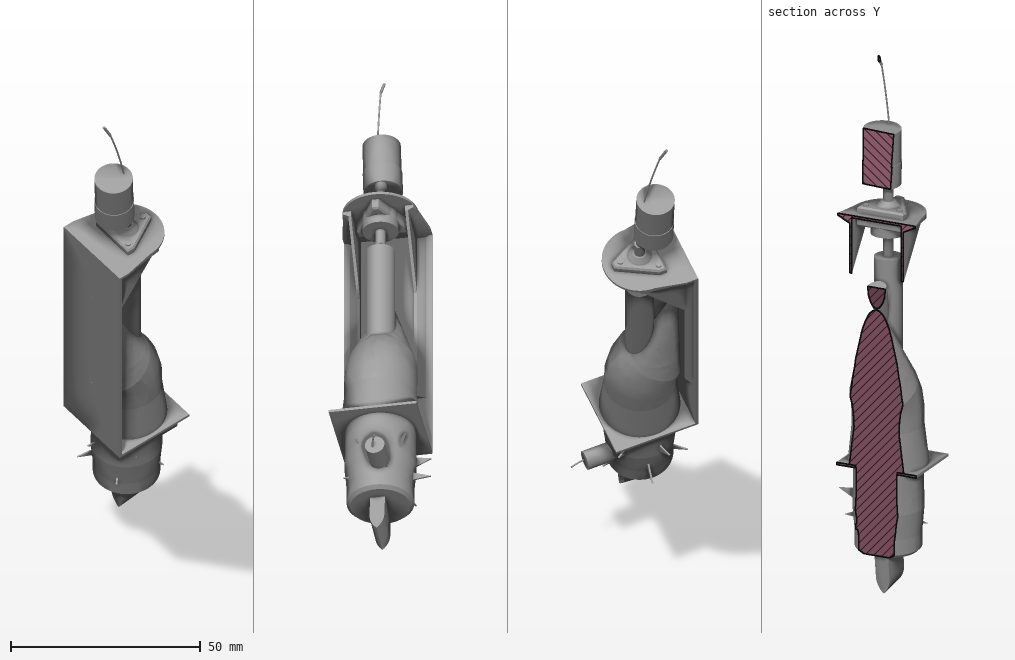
import cadquery as cq


bracket_width = 23.5
bracket_height = 70.8
sheet = 0.8
half_width = bracket_width / 2
wall_inside = -half_width + sheet
plate_underside = bracket_height - sheet
arch_start = -8.5
arch_radius = 10.0
gusset_outer_x = 8.0
gusset_tip_y = 3.5
gusset_height = 20.6
wall_foot_x = 10.2
plate_foot_x = 11.0
plate_foot_height = 1.5
wall_foot_height = 1.2
wall_foot_bottom = 17.7
wall_hole_diameter = 0.5
wall_hole_heights = (19.7, 53.0)

shroud_base_radius = 10.8
collar_radius = 9.4
collar_bottom = -6.0
belt_radius = 9.5
belt_z = -11.5
nose_radius = 8.9
nose_top = -18.6
nose_chamfer = 0.9
housing_bottom = -23.7
shroud_sections = [
    ((9.4, 11.5), (-9.8, 11.5)),
    ((8.9, 18.9), (-10.0, 14.9)),
    ((7.2, 24.0), (-10.3, 16.5)),
    ((4.9, 27.7), (-10.8, 17.7)),
    ((-10.2, 49.8), (-10.9, 47.5)),
]

spikes_per_ring = 5
spike_thickness = 0.5
spike_root_radius = 5.4
spike_center = (-2.0, 0.2)
upper_spike_angle = 196
upper_spike_radius = 11.5
upper_spike_z = -7.8
upper_spike_drop = 4.3
lower_spike_angle = 170
lower_spike_radius = 12.2
lower_spike_z = -17.2
lower_spike_rise = 3.0

shaft_diameter = 2.8
shaft_top = 78.2
sleeve_diameter = 7.7
sleeve_top = 58.3
sleeve_bottom = 12.3
branch_diameter = 5.2
branch_top_y = -7.0
branch_top_z = 51.7
branch_tilt = 21.0
branch_collar = 2.3
branch_end_diameter = 0.9
branch_cone = 16.9

flange_half_base = 6.8
flange_base_y = -4.9
flange_side_y = -2.8
flange_apex_y = 7.7
flange_apex_half = 0.9
flange_height = 1.8
flange_chamfer = 0.5
screw_places = [(-4.9, -3.4), (4.9, -3.4), (0, 5.5)]
screw_diameter = 1.5
screw_head = 0.5
dome_diameter = 6.6
dome_top_diameter = 3.7
dome_height = 1.4
hub_diameter = 9.5
lower_flange_height = 2.9
hub_length = 5.2

knob_diameter = 10.5
knob_length = 15.7
knob_band = 6.5
knob_band_step = 0.2
knob_y = -4.0
knob_bottom = 80.2
knob_tilt_x = 3.1
knob_tilt_y = 2.2
stem_diameter = 3.4
stem_y = -0.8
stem_overlap = 1.5
lead_diameter = 0.5
lead_x = 1.0
lead_path = [(-1.5, 94.6), (-3.8, 105.5), (-6.3, 114.1)]
lead_tip_x = 0.5
lead_tip_y = -8.0
lead_tip_z = 118.0
lead_tip_diameter = 0.8

motor_diameter = 5.2
motor_x = -1.4
motor_z = -15.2
motor_back = 9.0
motor_front = 16.3
motor_shaft_diameter = 2.5
motor_shaft_depth = 2.3
motor_lead_path = [(-0.8, 16.0, -15.8), (-1.0, 17.7, -15.5), (-2.0, 20.5, -15.0)]

blade_half_thickness = 2.0
blade_length = 8.8
blade_overlap = 3.0
blade_shoulder = 6.8
blade_tip = 11.5
blade_tilt = 7.5


def upright_cylinder(diameter, bottom, top, y=0):
    return cq.Workplane("XY", origin=(0, y, bottom)).circle(diameter / 2).extrude(top - bottom)


def spike_ring(start_angle, tip_radius, tip_z, root_z):
    """Thin triangular fins spread evenly around the spike centre."""
    ring = cq.Workplane("XY")
    for i in range(spikes_per_ring):
        fin = (
            cq.Workplane("XZ", origin=(0, spike_thickness / 2, 0))
            .polyline([(spike_root_radius, tip_z), (tip_radius, tip_z), (spike_root_radius, root_z)])
            .close().extrude(spike_thickness)
            .rotate((0, 0, 0), (0, 0, 1), start_angle + i * 360 / spikes_per_ring)
            .translate((*spike_center, 0))
        )
        ring = ring.add(fin)
    return ring


def lead_along(points):
    """Thin round wire along a smooth curve through the points."""
    curve = cq.Edge.makeSpline(points)
    start = cq.Plane(origin=points[0], normal=curve.tangentAt(0))
    return cq.Workplane(start).circle(lead_diameter / 2).sweep(cq.Workplane(curve))


def make_rod():
    """Stepped rod with a slanted side branch that narrows into the sleeve."""
    shaft = upright_cylinder(shaft_diameter, sleeve_top, shaft_top)
    sleeve = upright_cylinder(sleeve_diameter, sleeve_bottom, sleeve_top)
    collar = cq.Workplane("XY").circle(branch_diameter / 2).extrude(-branch_collar)
    cone = (
        cq.Workplane("XY", origin=(0, 0, -branch_collar)).circle(branch_diameter / 2)
        .workplane(offset=-branch_cone).circle(branch_end_diameter / 2).loft()
    )
    branch = collar.union(cone).rotate((0, 0, 0), (1, 0, 0), branch_tilt)
    return sleeve.union(shaft).union(branch.translate((0, branch_top_y, branch_top_z)))


def round_section(front, back):
    """Circle across the YZ plane whose diameter runs from front to back, both (Y, Z)."""
    front_point = cq.Vector(0, *front)
    back_point = cq.Vector(0, *back)
    along = front_point - back_point
    normal = cq.Vector(1, 0, 0).cross(along)
    return cq.Wire.makeCircle(along.Length / 2, (front_point + back_point) / 2, normal)


def make_shroud():
    """Round hood on a flared base, leaning back and narrowing to a tip at the wall."""
    sections = [round_section(front, back) for front, back in shroud_sections]
    rim = cq.Wire.makeCircle(shroud_base_radius, cq.Vector(0, 0, sheet), cq.Vector(0, 0, 1))
    flare = cq.Solid.makeLoft([rim, sections[0]], True)
    elbow = cq.Solid.makeLoft(sections[:-1])
    tip = cq.Solid.makeLoft(sections[-2:], True)
    return cq.Workplane(flare).union(cq.Workplane(elbow)).union(cq.Workplane(tip))


def make_housing(rod, motor):
    """Shroud and turned lower body with two rings of spikes, recessed for the rod and motor."""
    lower_body = (
        cq.Workplane("XZ")
        .polyline([
            (0, sheet), (collar_radius, sheet), (collar_radius, collar_bottom), (belt_radius, belt_z),
            (nose_radius, nose_top), (nose_radius, housing_bottom + nose_chamfer),
            (nose_radius - nose_chamfer, housing_bottom), (0, housing_bottom),
        ])
        .close().revolve(360, (0, 0, 0), (0, 1, 0))
    )
    body = make_shroud().union(lower_body)
    upper = spike_ring(upper_spike_angle, upper_spike_radius, upper_spike_z, upper_spike_z - upper_spike_drop)
    lower = spike_ring(lower_spike_angle, lower_spike_radius, lower_spike_z, lower_spike_z + lower_spike_rise)
    for spike in upper.vals() + lower.vals():
        body = body.union(cq.Workplane(spike))
    return body.cut(rod).cut(motor)


def make_bearing():
    """Triangular flanges clamped on both faces of the top plate, joined by the hub through it."""
    triangle = [
        (-flange_half_base, flange_base_y), (flange_half_base, flange_base_y),
        (flange_half_base, flange_side_y), (flange_apex_half, flange_apex_y),
        (-flange_apex_half, flange_apex_y), (-flange_half_base, flange_side_y),
    ]
    upper = (
        cq.Workplane("XY", origin=(0, 0, bracket_height)).polyline(triangle).close()
        .extrude(flange_height).faces(">Z").chamfer(flange_chamfer)
    )
    lower = (
        cq.Workplane("XY", origin=(0, 0, plate_underside)).polyline(triangle).close()
        .extrude(-lower_flange_height).faces("<Z").chamfer(flange_chamfer)
    )
    dome_base = bracket_height + flange_height
    dome = (
        cq.Workplane("XY", origin=(0, 0, dome_base)).circle(dome_diameter / 2)
        .workplane(offset=dome_height).circle(dome_top_diameter / 2).loft()
    )
    screws = (
        cq.Workplane("XY", origin=(0, 0, dome_base)).pushPoints(screw_places)
        .circle(screw_diameter / 2).extrude(screw_head)
    )
    hub = upright_cylinder(hub_diameter, plate_underside - hub_length, bracket_height)
    bore = upright_cylinder(shaft_diameter, sleeve_top, shaft_top)
    return upper.union(lower).union(hub).union(dome).union(screws).cut(bore)


def make_gusset():
    """Corner web on the -X side with bevelled feet along the wall and under the top plate."""
    web = (
        cq.Workplane("YZ", origin=(-gusset_outer_x, 0, 0))
        .polyline([(wall_inside, plate_underside), (gusset_tip_y, plate_underside),
                   (gusset_tip_y, plate_underside - plate_foot_height),
                   (wall_inside, plate_underside - gusset_height)])
        .close().extrude(sheet)
    )
    inner_x = -gusset_outer_x + sheet
    wall_foot = (
        cq.Workplane("XY", origin=(0, 0, wall_foot_bottom))
        .polyline([(-wall_foot_x, wall_inside), (-gusset_outer_x, wall_inside + wall_foot_height),
                   (inner_x, wall_inside + wall_foot_height), (inner_x, wall_inside)])
        .close().extrude(plate_underside - wall_foot_bottom)
    )
    plate_foot = (
        cq.Workplane("XZ", origin=(0, wall_inside, 0))
        .polyline([(-plate_foot_x, plate_underside), (-gusset_outer_x, plate_underside - plate_foot_height),
                   (inner_x, plate_underside - plate_foot_height), (inner_x, plate_underside)])
        .close().extrude(wall_inside - gusset_tip_y)
    )
    return web.union(wall_foot).union(plate_foot)


def make_bracket(housing, bearing, rod):
    """Sheet bracket with a back wall, a square base and an arched, gusseted top plate."""
    base = cq.Workplane("XY").rect(bracket_width, bracket_width).extrude(sheet)
    wall = (
        cq.Workplane("XY", origin=(0, wall_inside - sheet / 2, 0))
        .rect(bracket_width, sheet).extrude(bracket_height)
    )
    arch = (
        cq.Workplane("XY").moveTo(-half_width, -half_width).lineTo(half_width, -half_width)
        .lineTo(half_width, arch_start).lineTo(arch_radius, 0)
        .threePointArc((0, arch_radius), (-arch_radius, 0)).lineTo(-half_width, arch_start)
        .close().extrude(bracket_height)
    )
    top = arch.cut(cq.Workplane("XY").rect(bracket_width, bracket_width).extrude(plate_underside))
    body = base.union(wall).union(top)
    gusset = make_gusset().intersect(arch)
    body = body.union(gusset).union(gusset.mirror("YZ"))
    holes = (
        cq.Workplane("XZ", origin=(0, -half_width, 0))
        .pushPoints([(0, z) for z in wall_hole_heights])
        .circle(wall_hole_diameter / 2).extrude(-sheet)
    )
    return body.cut(holes).cut(bearing).cut(rod).cut(housing)


def make_knob():
    """Tilted round knob on a stem, with a curved lead that ends in a thicker tip."""
    lower = upright_cylinder(knob_diameter, 0, knob_band)
    upper = upright_cylinder(knob_diameter - 2 * knob_band_step, knob_band, knob_length)
    grip = (
        lower.union(upper)
        .rotate((0, 0, 0), (1, 0, 0), knob_tilt_x).rotate((0, 0, 0), (0, 1, 0), knob_tilt_y)
        .translate((0, knob_y, knob_bottom))
    )
    stem = upright_cylinder(stem_diameter, shaft_top, knob_bottom + stem_overlap, stem_y)
    points = [cq.Vector(lead_x, y, z) for y, z in lead_path]
    tip_start = points[-1]
    tip_axis = cq.Vector(lead_tip_x, lead_tip_y, lead_tip_z) - tip_start
    tip = cq.Solid.makeCylinder(lead_tip_diameter / 2, tip_axis.Length, tip_start, tip_axis)
    return grip.union(stem).union(lead_along(points)).union(cq.Workplane(tip))


def make_motor():
    """Small motor along Y with its shaft in the housing and a lead at its front."""
    case = upright_cylinder(motor_diameter, motor_back, motor_front)
    shaft = upright_cylinder(motor_shaft_diameter, motor_back - motor_shaft_depth, motor_back)
    drive = case.union(shaft).rotate((0, 0, 0), (1, 0, 0), -90).translate((motor_x, 0, motor_z))
    return drive.union(lead_along([cq.Vector(*p) for p in motor_lead_path]))


def make_blade():
    """Pointed blade, tilted about X and cut off level with the housing underside."""
    half = blade_half_thickness
    blade = (
        cq.Workplane("XZ", origin=(0, blade_length / 2, 0))
        .moveTo(0, blade_overlap).lineTo(half, blade_overlap).lineTo(half, -blade_shoulder)
        .tangentArcPoint((0, -blade_tip), relative=False)
        .mirrorY().extrude(blade_length)
        .rotate((0, 0, 0), (1, 0, 0), blade_tilt)
        .translate((0, 0, housing_bottom))
    )
    return blade.cut(upright_cylinder(2 * collar_radius, housing_bottom, 0))


rod = make_rod()
motor = make_motor()
housing = make_housing(rod, motor)
bearing = make_bearing()
bracket = make_bracket(housing, bearing, rod)
knob = make_knob()
blade = make_blade()

bodies = (bracket, bearing, rod, knob, housing, motor, blade)
result = cq.Compound.makeCompound([solid for body in bodies for solid in body.solids().vals()])